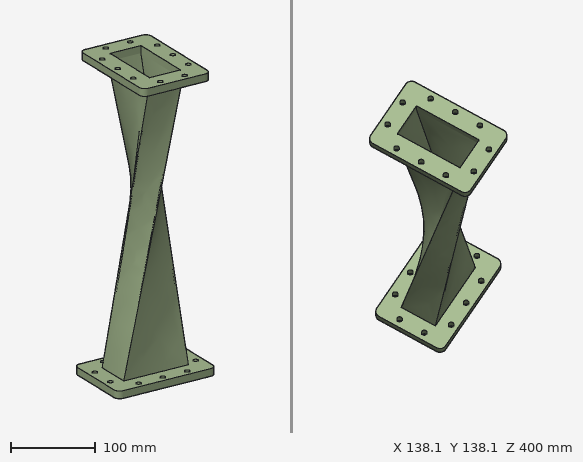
import cadquery as cq


total_length = 400.0

passage_long = 86.36
passage_short = 43.18
wall = 2.0

flange_long = 138.1
flange_short = 95.2
flange_thickness = 10.0
flange_corner_radius = 8.0

bolt_diameter = 6.5
bolt_pitch = 34.0
long_side_bolt_offset = 38.5
short_side_bolt_offset = 59.5

tube_length = total_length - 2 * flange_thickness


def bolt_centres():
    """Hole centres for a flange whose long side lies along X."""
    centres = []
    for side in (-1, 1):
        for step in (-1, 0, 1):
            centres.append((step * bolt_pitch, side * long_side_bolt_offset))
        for half_step in (-0.5, 0.5):
            centres.append((side * short_side_bolt_offset, half_step * bolt_pitch))
    return centres


def flange():
    """Flange with its long side along X, standing on the plane Z = 0."""
    plate = cq.Workplane("XY").rect(flange_long, flange_short).extrude(flange_thickness)
    plate = plate.edges("|Z").fillet(flange_corner_radius)
    window = cq.Workplane("XY").rect(passage_long, passage_short).extrude(flange_thickness)
    bolts = (
        cq.Workplane("XY")
        .pushPoints(bolt_centres())
        .circle(bolt_diameter / 2)
        .extrude(flange_thickness)
    )
    return plate.cut(window).cut(bolts)


def rectangle_corners(long_side, short_side):
    """Corners of a centred rectangle with its long side along X, counter-clockwise."""
    x = long_side / 2
    y = short_side / 2
    return [(-x, -y), (x, -y), (x, y), (-x, y)]


def closed_edges(corners, z):
    """Straight edges joining the corners in order, back to the first one, at height z."""
    points = [cq.Vector(x, y, z) for x, y in corners]
    return [cq.Edge.makeLine(start, end) for start, end in zip(points, points[1:] + points[:1])]


def twisted_bar(long_side, short_side):
    """Solid between the flanges; every corner turns clockwise by 90 degrees on the way down.

    Each side is a ruled surface, so the four corner edges are straight lines.
    """
    upper_corners = rectangle_corners(long_side, short_side)
    lower_corners = [(y, -x) for x, y in upper_corners]
    lower_edges = closed_edges(lower_corners, flange_thickness)
    upper_edges = closed_edges(upper_corners, flange_thickness + tube_length)
    ends = [cq.Face.makeFromWires(cq.Wire.assembleEdges(edges)) for edges in (lower_edges, upper_edges)]
    sides = [cq.Face.makeRuledSurface(low, high) for low, high in zip(lower_edges, upper_edges)]
    return cq.Workplane(cq.Solid.makeSolid(cq.Shell.makeShell(ends + sides)))


def twisted_tube():
    outside = twisted_bar(passage_long + 2 * wall, passage_short + 2 * wall)
    return outside.cut(twisted_bar(passage_long, passage_short))


bottom_flange = flange().rotate((0, 0, 0), (0, 0, 1), 90)
top_flange = flange().translate((0, 0, total_length - flange_thickness))

result = twisted_tube().union(bottom_flange).union(top_flange)